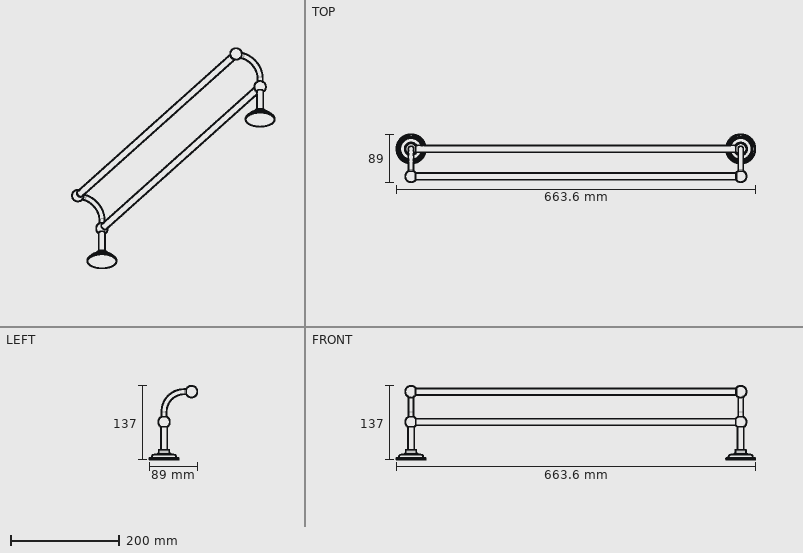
import cadquery as cq
import math

overall_length = 663.5
overall_depth = 89.0
overall_height = 137.0
flange_radius = 27.0
ball_diameter = 22.0
ball_radius = ball_diameter / 2
bar_radius = 6.3
post_radius = 6.0
arm_radius = 5.0

post_x = overall_length / 2 - flange_radius
lower_ball_z = 70.0
upper_ball_z = overall_height - ball_radius
arm_reach = overall_depth - flange_radius - ball_radius

bend_radius = 37.0
bend_start_z = upper_ball_z - bend_radius

bar_end_gap = 7.0

rim_base_radius = 26.5
rim_mid_z = 1.65
rim_top_radius = 26.0
rim_top_z = 3.0

step_radius = 22.5
step_top_radius = 20.0
step_top_z = 9.0

neck_foot_radius = 12.0
neck_foot_z = 10.5
neck_radius = 10.0
neck_flare_z = 14.5
neck_top_z = 18.5
neck_rounding = 1.0


def corner_arc(workplane, start, end, centre):
    """Add an arc from start to end, curved around the centre that lies square to both points."""
    half = math.sqrt(0.5)
    mid = tuple(c + half * ((s - c) + (e - c)) for s, e, c in zip(start, end, centre))
    return workplane.threePointArc(mid, end)


def make_flange():
    """Round base with a rounded rim, a domed step and a short neck, turned about the post axis."""
    rim_top = (rim_top_radius, rim_top_z)
    step_base = (step_radius, rim_top_z)
    step_top = (step_top_radius, step_top_z)
    neck_foot = (neck_foot_radius, neck_foot_z)
    neck_side = (neck_radius, neck_flare_z)

    profile = (
        cq.Workplane("XZ")
        .lineTo(rim_base_radius, 0)
        .threePointArc((flange_radius, rim_mid_z), rim_top)
        .lineTo(*step_base)
    )
    profile = corner_arc(profile, step_base, step_top, (step_top_radius, rim_top_z))
    profile = profile.lineTo(*neck_foot)
    profile = corner_arc(profile, neck_foot, neck_side, (neck_foot_radius, neck_flare_z))
    profile = profile.lineTo(neck_radius, neck_top_z).lineTo(0, neck_top_z).close()

    flange = profile.revolve(360, (0, 0, 0), (0, 1, 0))
    return flange.faces(">Z").edges().fillet(neck_rounding)


def make_arm():
    """Round rod: up from the lower ball, through the bend, and forward into the upper ball."""
    path = (
        cq.Workplane("YZ")
        .moveTo(0, lower_ball_z)
        .lineTo(0, bend_start_z)
        .radiusArc((-bend_radius, upper_ball_z), -bend_radius)
        .lineTo(-arm_reach, upper_ball_z)
    )
    return cq.Workplane("XY", origin=(0, 0, lower_ball_z)).circle(arm_radius).sweep(path)


def make_stand():
    """Flange, post, arm and both balls of one end, with the post on the Z axis."""
    post = cq.Workplane("XY").circle(post_radius).extrude(lower_ball_z)
    lower_ball = cq.Workplane("XY", origin=(0, 0, lower_ball_z)).sphere(ball_radius)
    upper_ball = cq.Workplane("XZ", origin=(0, -arm_reach, upper_ball_z)).sphere(ball_radius)
    return make_flange().union(post).union(lower_ball).union(make_arm()).union(upper_ball)


def make_bar(y, z, half_length):
    """Round bar along X, centred on x = 0."""
    return cq.Workplane("YZ", origin=(-half_length, y, z)).circle(bar_radius).extrude(2 * half_length)


upper_bar = make_bar(-arm_reach, upper_ball_z, post_x - bar_end_gap)

frame = make_bar(0, lower_ball_z, post_x)
for stand_x in (-post_x, post_x):
    frame = frame.union(make_stand().translate((stand_x, 0, 0)))
frame = frame.cut(upper_bar)

result = cq.Compound.makeCompound([frame.solids().val(), upper_bar.val()])